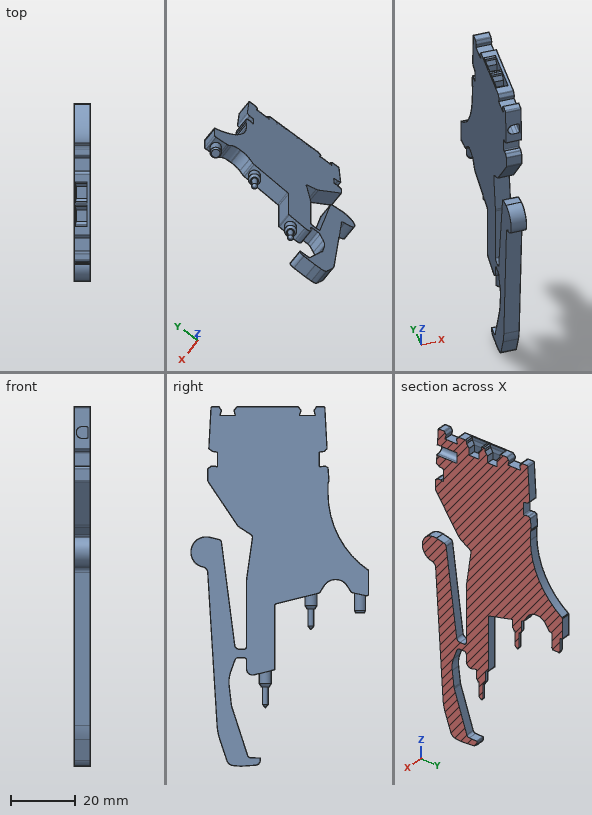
import cadquery as cq
import math

thickness = 5.0
length = 55.08
height = 111.45
back_y = length / 2
front_y = -length / 2
top_z = height / 2
bottom_z = -height / 2

notch_floor_z = 53.0
detent_z = 54.5
face_top_z = 42.7
waist_top_z = 41.6
waist_bottom_z = 37.0
front_waist_y = -19.3
back_waist_y = 12.3
leg_front_y = -10.3
leg_back_y = -1.5
back_arc_radius = 28.9
arch_y = 17.3
arch_top_z = 2.1
arch_radius = 4.05
arch_half_top = 2.36
arch_half_base = 4.9
small_round = 0.5
corner_round = 1.0

bridge_top_z = -19.4
bridge_bottom_z = -22.1
bridge_round = 0.8

grip_radius = 4.75
grip_y = front_y + grip_radius
grip_z = 10.65

conductor_z = 47.7
conductor_radius = 1.85
conductor_depth = 8.0
conductor_corner_round = 0.6
face_front_y = -21.9

socket_pitch = 7.2
socket_count = 2
socket_min_x = -2.15
socket_floor_min_x = -1.85
socket_max_x = 1.5
socket_mouth_length = 6.6
socket_throat_length = 5.7
socket_floor_length = 3.6
socket_lip_depth = 0.4
socket_wall_depth = 1.2
socket_funnel_depth = 2.5
socket_depth = 5.0

pin_x = 0.3
post_y = 24.9
post_radius = 1.75
post_end_z = -8.2
post_chamfer_radial = 0.4
post_chamfer_height = 0.8
post_height = 10.0
plug_tips = [(9.67, -13.4), (-4.45, -37.6)]
plug_body_radius = 1.9
plug_shoulder_radius = 1.2
plug_rod_radius = 0.92
plug_cone_height = 1.1
plug_rod_top = 6.4
plug_body_start = 7.5
plug_height = 15.0


def rounded_outline(corners):
    """Closed YZ wire through (y, z, radius) corners, each rounded by a tangent arc of its radius."""
    wire = None
    for i, (y, z, radius) in enumerate(corners):
        corner = cq.Vector(y, z)
        before = cq.Vector(*corners[i - 1][:2])
        after = cq.Vector(*corners[(i + 1) % len(corners)][:2])
        to_before = (before - corner).normalized()
        to_after = (after - corner).normalized()
        half_angle = to_before.getAngle(to_after) / 2
        setback = radius / math.tan(half_angle)
        start = corner + to_before * setback
        end = corner + to_after * setback
        if wire is None:
            wire = cq.Workplane("YZ").moveTo(start.x, start.y)
        else:
            wire = wire.lineTo(start.x, start.y)
        if radius > 0:
            bisector = (to_before + to_after).normalized()
            middle = corner + bisector * (radius / math.sin(half_angle) - radius)
            wire = wire.threePointArc((middle.x, middle.y), (end.x, end.y))
    return wire.close()


def plate():
    """The flat plate: housing, leg, bridge and latch arm in one outline."""
    top_edge = [
        (14.0, top_z, small_round),
        (11.4, top_z, 0.4),
        (10.6, detent_z, 0.4),
        (11.0, notch_floor_z, 0),
        (6.1, notch_floor_z, 0),
        (6.7, detent_z, 0.4),
        (5.7, top_z, 0.3),
        (-13.2, top_z, 0.3),
        (-14.2, detent_z, 0.4),
        (-13.8, notch_floor_z, 0),
        (-18.5, notch_floor_z, 0),
        (-18.0, detent_z, 0.4),
        (-18.8, top_z, 0.4),
        (-21.3, top_z, small_round),
    ]
    front_edge = [
        (-22.0, face_top_z, 0.2),
        (-20.8, 41.8, 0.3),
        (front_waist_y, waist_top_z, 0.2),
        (front_waist_y, waist_bottom_z, 0.2),
        (-20.0, 37.3, 0),
        (-21.2, 37.3, 0.3),
        (-22.3, 36.5, 0.2),
        (-22.3, 32.6, corner_round),
        (-12.9, 18.6, 3.0),
        (-8.4, 15.7, corner_round),
        (leg_front_y, 2.2, 5.0),
        (leg_front_y, bridge_top_z, bridge_round),
    ]
    latch_arm = [
        (-13.75, bridge_top_z, 1.3),
        (-18.1, 14.4, corner_round),
        (-21.8, 15.3, 0),
        (grip_y, grip_z, 0),
        (-24.0, 6.2, 0),
        (-22.4, 5.4, 1.8),
        (-19.3, -45.3, 17.0),
        (-15.9, -55.4, 2.4),
        (-12.0, bottom_z, 0),
        (-6.0, -55.3, 1.6),
        (-6.0, -53.1, 0.2),
        (-9.7, -53.0, corner_round),
        (-14.9, -37.0, 2.0),
        (-15.9, -28.5, 10.0),
        (-13.6, bridge_bottom_z, corner_round),
    ]
    underside = [
        (leg_front_y, bridge_bottom_z, bridge_round),
        (leg_front_y, -28.0, 1.9),
        (leg_back_y, -25.8, 0.3),
        (leg_back_y, -5.5, small_round),
        (arch_y - arch_half_base, -2.0, corner_round),
        (arch_y - arch_half_top, arch_top_z, arch_radius),
        (arch_y + arch_half_top, arch_top_z, arch_radius),
        (arch_y + arch_half_base, -1.9, corner_round),
        (back_y, -3.0, small_round),
    ]
    back_edge = [
        (back_y, 5.0, small_round),
        (15.0, 13.6, back_arc_radius),
        (15.0, 32.0, 0),
        (15.3, 32.8, 0),
        (15.0, 36.8, 0.2),
        (14.2, 37.3, 0.3),
        (12.9, 37.2, 0),
        (back_waist_y, waist_bottom_z, 0.2),
        (back_waist_y, waist_top_z, 0.2),
        (13.8, 41.8, 0.3),
        (14.7, face_top_z, 0.2),
    ]
    outline = rounded_outline(top_edge + front_edge + latch_arm + underside + back_edge)
    return outline.extrude(thickness / 2, both=True)


def grip():
    """Round thumb grip on the latch arm."""
    disc = cq.Workplane("YZ").center(grip_y, grip_z).circle(grip_radius)
    return disc.extrude(thickness / 2, both=True)


def conductor_hole():
    """D-shaped pocket entering the front face along +Y, round towards -X and square towards +X."""
    entry = cq.Workplane("XZ", origin=(0, face_front_y, conductor_z))
    round_side = entry.circle(conductor_radius).extrude(-conductor_depth)
    square_side = (
        entry.center(conductor_radius / 2, 0)
        .rect(conductor_radius, 2 * conductor_radius)
        .extrude(-conductor_depth)
        .edges("|Y and >X")
        .fillet(conductor_corner_round)
    )
    return round_side.union(square_side)


def socket(center_y):
    """Flat-floored pocket with a sloped lip and a funnel, sunk into the top face at center_y."""

    def section(depth, min_x, section_length):
        half = section_length / 2
        corners = [
            (min_x, center_y - half, top_z - depth),
            (socket_max_x, center_y - half, top_z - depth),
            (socket_max_x, center_y + half, top_z - depth),
            (min_x, center_y + half, top_z - depth),
        ]
        return cq.Wire.makePolygon([cq.Vector(*c) for c in corners], close=True)

    sections = [
        section(0, socket_min_x, socket_mouth_length),
        section(socket_lip_depth, socket_min_x, socket_throat_length),
        section(socket_wall_depth, socket_min_x, socket_throat_length),
        section(socket_funnel_depth, socket_floor_min_x, socket_floor_length),
        section(socket_depth, socket_floor_min_x, socket_floor_length),
    ]
    return cq.Workplane(cq.Solid.makeLoft(sections, True))


def turned_pin(center_y, tip_z, profile):
    """Body of revolution about a vertical axis; profile holds (radius, height above tip)."""
    return (
        cq.Workplane("XZ", origin=(pin_x, center_y, tip_z))
        .polyline(profile)
        .close()
        .revolve(360, (0, 0, 0), (0, 1, 0))
    )


def guide_post():
    """Plain post with a chamfered end below the back of the housing."""
    profile = [
        (0, 0),
        (post_radius - post_chamfer_radial, 0),
        (post_radius, post_chamfer_height),
        (post_radius, post_height),
        (0, post_height),
    ]
    return turned_pin(post_y, post_end_z, profile)


def plug_pin(center_y, tip_z):
    """Contact pin: pointed thin rod below a thicker body with a tapered shoulder."""
    profile = [
        (0, 0),
        (plug_rod_radius, plug_cone_height),
        (plug_rod_radius, plug_rod_top),
        (plug_shoulder_radius, plug_rod_top),
        (plug_body_radius, plug_body_start),
        (plug_body_radius, plug_height),
        (0, plug_height),
    ]
    return turned_pin(center_y, tip_z, profile)


result = plate().union(grip()).union(guide_post())
for pin_y, pin_tip_z in plug_tips:
    result = result.union(plug_pin(pin_y, pin_tip_z))
result = result.cut(conductor_hole())
for index in range(socket_count):
    result = result.cut(socket(-index * socket_pitch))